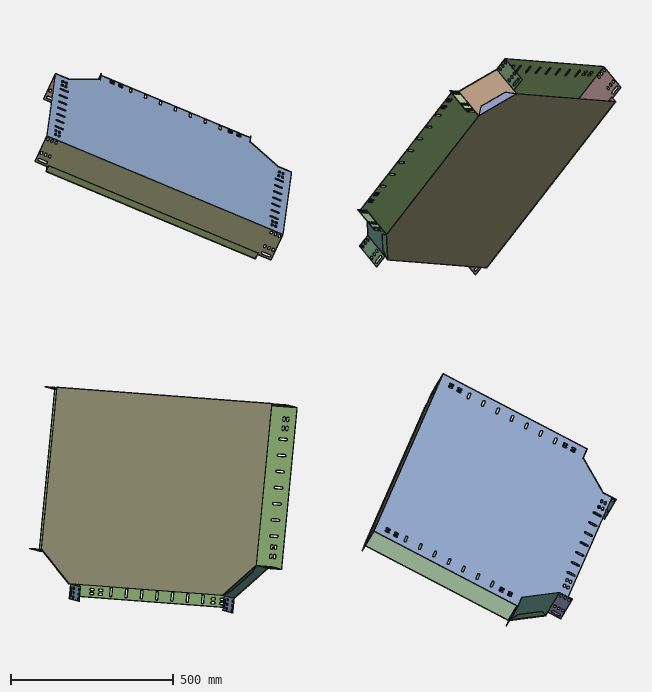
import cadquery as cq
import math


tray_length = 792.5
tray_width = 502.0
throat_half = 351.0
gusset_run = 100.0
branch_half = throat_half - gusset_run
coupler_length = tray_length / 2 - throat_half
gusset_end = -tray_width - gusset_run
branch_end = gusset_end - coupler_length
branch_plate_setback = 15.0

sheet = 1.0
tray_depth = 110.0
coupler_depth = 94.5
side_skirt_height = 21.0
gusset_tab_height = 24.0

mouth_inset = 35.5
slot_count = 7
slot_span = 300.0
slot_length = 28.0
slot_width = 7.0
pair_offsets = (184.0, 212.0)
pair_spacing = 12.0
pair_inset = 33.0
pair_slot_length = 14.0
pair_slot_width = 7.0

coupler_hole_length = 10.0
coupler_hole_width = 7.0
coupler_hole_inset = 22.0
coupler_hole_pitch = 14.0
coupler_row_depths = (9.5, 60.0)
coupler_slot_depth = 83.0
coupler_slot_length = 30.0
coupler_slot_width = 8.0

roll = -21.7
pitch = -27.1
yaw = -18.5
origin = (227.0, -48.0, 163.0)


def box(u_range, v_range, w_range):
    sizes = [high - low for low, high in (u_range, v_range, w_range)]
    return cq.Workplane().box(*sizes, centered=False).translate((u_range[0], v_range[0], w_range[0]))


def tee_outline(inset, overrun):
    """Tee outline moved inward by inset, with its three mouths moved outward by overrun."""
    corner_shift = inset * math.tan(math.pi / 8)
    mouth = tray_length / 2 + overrun
    half_outline = [
        (-inset, mouth),
        (-tray_width + inset, mouth),
        (-tray_width + inset, throat_half - corner_shift),
        (gusset_end + corner_shift, branch_half - inset),
        (branch_end - overrun, branch_half - inset),
    ]
    mirrored = [(u, -v) for u, v in reversed(half_outline)]
    return cq.Workplane().polyline(half_outline + mirrored).close()


def folded_sheet():
    body = tee_outline(0, 0).extrude(-tray_depth)
    hollow = tee_outline(sheet, sheet).extrude(-tray_depth).translate((0, 0, -sheet))
    body = body.cut(hollow)
    setback = box(
        (branch_end, branch_end + branch_plate_setback),
        (-branch_half + sheet, branch_half - sheet),
        (-sheet, 0),
    )
    return body.cut(setback)


def wall_trims():
    """Material below the couplers, and the strip of the straight wall replaced by the cover skirt."""
    reach = tray_length
    below_couplers = (-2 * tray_depth, -coupler_depth)
    below_skirt_edge = (-2 * tray_depth, -tray_depth + side_skirt_height)
    return [
        box((-reach, sheet), (throat_half, reach), below_couplers),
        box((-reach, sheet), (-reach, -throat_half), below_couplers),
        box((-reach, gusset_end), (-reach, reach), below_couplers),
        box((-sheet, sheet), (-throat_half, throat_half), below_skirt_edge),
    ]


def mouth_slots():
    """Row of slots for a mouth lying on the x axis, with the plate on its -y side."""
    slot_pitch = slot_span / (slot_count - 1)
    slots = (
        cq.Workplane(origin=(0, -mouth_inset, 0))
        .rarray(slot_pitch, 9, slot_count, 1)
        .slot2D(slot_length, slot_width, 90)
        .extrude(-sheet)
    )
    pair_points = [
        (side * offset, -pair_inset + row * pair_spacing / 2)
        for side in (-1, 1)
        for offset in pair_offsets
        for row in (-1, 1)
    ]
    pairs = cq.Workplane().pushPoints(pair_points).slot2D(pair_slot_length, pair_slot_width).extrude(-sheet)
    return slots.add(pairs).combine()


def coupler_holes():
    """Holes of one coupler: the wall runs along x from its free end at x = 0, plate edge at z = 0."""
    columns = [coupler_hole_inset + i * coupler_hole_pitch for i in (-1, 0, 1)]
    hole_points = [(x, -depth) for x in columns for depth in coupler_row_depths]
    holes = (
        cq.Workplane("XZ")
        .pushPoints(hole_points)
        .slot2D(coupler_hole_length, coupler_hole_width, 90)
        .extrude(sheet, both=True)
    )
    slot = (
        cq.Workplane("XZ")
        .center(coupler_hole_inset, -coupler_slot_depth)
        .slot2D(coupler_slot_length, coupler_slot_width)
        .extrude(sheet, both=True)
    )
    return holes.union(slot)


def turned(shape, angle, u, v):
    return shape.rotate((0, 0, 0), (0, 0, 1), angle).translate((u, v, 0))


def make_tray():
    mouth = tray_length / 2
    slots = mouth_slots()
    holes = coupler_holes()
    cutters = wall_trims() + [
        turned(slots, 0, -tray_width / 2, mouth),
        turned(slots, 180, -tray_width / 2, -mouth),
        turned(slots, 90, branch_end, 0),
        turned(holes, 0, branch_end, branch_half),
        turned(holes, 0, branch_end, -branch_half),
    ]
    for u in (0, -tray_width):
        cutters.append(turned(holes, -90, u, mouth))
        cutters.append(turned(holes, 90, u, -mouth))
    tray = folded_sheet()
    for cutter in cutters:
        tray = tray.cut(cutter)
    return tray


def gusset_tab():
    """Mitred tab lying on the outside of the gusset wall at +v."""
    tab_bottom = -tray_depth - sheet
    half_length = gusset_run / math.sqrt(2)
    height = gusset_tab_height + sheet
    tab_plane = cq.Plane(
        origin=(-tray_width - gusset_run / 2, throat_half - gusset_run / 2, tab_bottom),
        xDir=(-1, -1, 0),
        normal=(-1, 1, 0),
    )
    outline = [
        (-half_length, 0),
        (half_length, 0),
        (half_length - height, height),
        (height - half_length, height),
    ]
    return cq.Workplane(tab_plane).polyline(outline).close().extrude(sheet)


def make_cover():
    half_outline = [
        (0, throat_half),
        (-tray_width, throat_half),
        (gusset_end, branch_half),
    ]
    mirrored = [(u, -v) for u, v in reversed(half_outline)]
    plate = cq.Workplane().polyline(half_outline + mirrored).close().extrude(-sheet)
    plate = plate.translate((0, 0, -tray_depth))
    skirt = box(
        (-sheet, 0),
        (-throat_half, throat_half),
        (-tray_depth - sheet, -tray_depth + side_skirt_height),
    )
    tab = gusset_tab()
    return plate.union(skirt).union(tab).union(tab.mirror("XZ"))


def placed(body):
    tilted = body.rotate((0, 0, 0), (1, 0, 0), roll)
    tilted = tilted.rotate((0, 0, 0), (0, 1, 0), pitch)
    return tilted.rotate((0, 0, 0), (0, 0, 1), yaw).translate(origin)


tray = placed(make_tray())
cover = placed(make_cover())

result = cq.Compound.makeCompound([tray.solids().val(), cover.solids().val()])